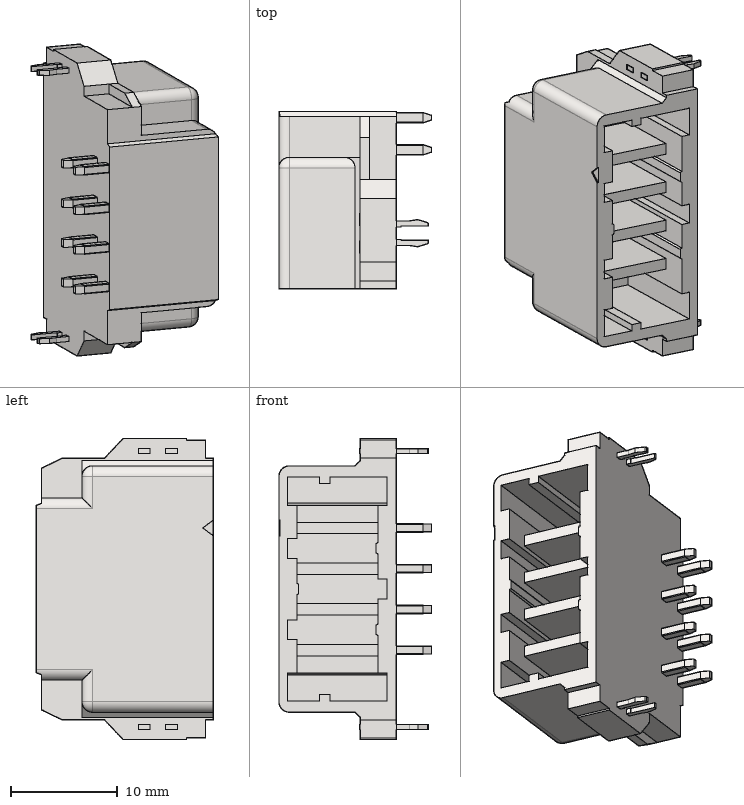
import cadquery as cq


HOUSING_WIDTH = 11.0
HOUSING_DEPTH = 16.1
FRONT_DEPTH = 12.3
FRONT_HALF_HEIGHT = 11.53
REAR_HALF_HEIGHT = 8.53
EDGE_RADIUS = 1.0
REAR_PAD_DEPTH = 16.6
REAR_PAD_HALF_HEIGHT = 7.82
REAR_PAD_FLARE = 0.2

FLANGE_X = 7.6
FLANGE_HALF_HEIGHT = 12.24
FLANGE_REAR_HALF_HEIGHT = 11.3
FLANGE_REAR_TAPER = 1.93
FLANGE_LIP = 0.9
BLEND_HEIGHT = 0.47

EAR_HALF_HEIGHT = 14.09
EAR_STEP = 0.17
EAR_FRONT_Y = 0.73
EAR_STEP_Y = 2.52
EAR_TOP_END_Y = 8.45
EAR_FOOT_END_Y = 10.2

POCKET_X_MIN = 0.8
POCKET_X_MAX = 10.1
POCKET_HALF_HEIGHT = 10.48
POCKET_DEPTH = 11.0
CAVITY_X_MIN = 1.69
CAVITY_X_MAX = 9.28
CAVITY_HALF_HEIGHT = 7.83
CAVITY_DEPTH = 9.8
RAMP_RISE = 0.22
POCKET_RIB_X = 3.8
POCKET_RIB_WIDTH = 1.0
POCKET_RIB_HEIGHT = 0.63

PITCH = 3.81
ROW_COUNT = 4
CONTACT_ROWS = [(row - (ROW_COUNT - 1) / 2) * PITCH for row in range(ROW_COUNT)]
KEY_WIDTH = 1.86
BUMP_HEIGHT = 0.17
BUMP_BASE = 1.1
BUMP_TOP = 0.86
BLADE_THICKNESS = 1.06
BLADE_FRONT_Y = 2.85

PIN_COLUMNS = (13.0, 16.0)
PIN_TIP_X = 14.3
PIN_TAPER_X = 13.47
PIN_WIDTH = 1.0
PIN_TIP_WIDTH = 0.44
PIN_THICKNESS = 0.82
PIN_BEVEL = 0.08

CLIP_Y = 5.2
CLIP_Z = 12.9
CLIP_THICKNESS = 0.48
CLIP_TIP_X = 14.0
CLIP_HEAD_X = 7.54
CLIP_HEAD_INNER = 0.73
CLIP_HEAD_OUTER = 1.83
CLIP_LEG_ROOT_INNER = 0.57
CLIP_LEG_INNER = 0.66
CLIP_LEG_OUTER = 1.16
CLIP_BARB_OUTER = 1.28
CLIP_TIP_OUTER = 1.0
CLIP_ROOT_END_X = 11.43
CLIP_TIP_BEVEL = 0.1
CLIP_BARB_START_X = 12.22
CLIP_BARB_X = 13.0

MARK_Z = CONTACT_ROWS[-1]
MARK_LENGTH = 1.0
MARK_WIDTH = 1.5
MARK_DEPTH = 0.12

OVERLAP = 0.5


def box(x_range, y_range, z_range):
    """Box between two limits on each axis."""
    size = [high - low for low, high in (x_range, y_range, z_range)]
    return cq.Workplane("XY").box(*size, centered=False).translate(
        (x_range[0], y_range[0], z_range[0])
    )


def prism_x(points, x_min, x_max):
    """(y, z) outline extruded along X."""
    return cq.Workplane("YZ").polyline(points).close().extrude(x_max - x_min).translate((x_min, 0, 0))


def prism_y(points, y_min, y_max):
    """(x, z) outline extruded along Y."""
    return cq.Workplane("XZ").polyline(points).close().extrude(y_min - y_max).translate((0, y_min, 0))


def prism_z(points, z_center, thickness):
    """(x, y) outline extruded along Z, centred on z_center."""
    plate = cq.Workplane("XY").polyline(points).close().extrude(thickness)
    return plate.translate((0, 0, z_center - thickness / 2))


def with_mirror(body):
    """Body joined with its reflection across the mid plane z = 0."""
    return body.union(body.mirror("XY"))


def make_housing():
    """Rounded shell: tall front section and lower rear section with a raised rear pad."""
    front = box((0, FLANGE_X + FLANGE_LIP), (0, FRONT_DEPTH), (-FRONT_HALF_HEIGHT, FRONT_HALF_HEIGHT))
    rounded_edges = front.faces("<X").edges("not <Y").add(front.faces(">Y").edges("|X"))
    front = front.newObject(rounded_edges.vals()).fillet(EDGE_RADIUS)

    pad_base = REAR_PAD_HALF_HEIGHT + REAR_PAD_FLARE
    rear_outline = [
        (0, -REAR_HALF_HEIGHT),
        (HOUSING_DEPTH, -REAR_HALF_HEIGHT),
        (HOUSING_DEPTH, -pad_base),
        (REAR_PAD_DEPTH, -REAR_PAD_HALF_HEIGHT),
        (REAR_PAD_DEPTH, REAR_PAD_HALF_HEIGHT),
        (HOUSING_DEPTH, pad_base),
        (HOUSING_DEPTH, REAR_HALF_HEIGHT),
        (0, REAR_HALF_HEIGHT),
    ]
    rear = prism_x(rear_outline, 0, HOUSING_WIDTH)
    envelope = box((0, HOUSING_WIDTH), (0, REAR_PAD_DEPTH), (-REAR_HALF_HEIGHT, REAR_HALF_HEIGHT))
    envelope = envelope.edges("|Y and <X").fillet(EDGE_RADIUS)
    return front.union(rear.intersect(envelope))


def make_flange():
    """Flange along the pin side with an ear at each end, blended into the housing."""
    taper_start_y = HOUSING_DEPTH - FLANGE_REAR_TAPER
    lip_outline = [
        (0, 0),
        (0, FLANGE_HALF_HEIGHT),
        (taper_start_y, FLANGE_HALF_HEIGHT),
        (HOUSING_DEPTH, FLANGE_REAR_HALF_HEIGHT),
        (HOUSING_DEPTH, 0),
    ]
    lip = prism_x(lip_outline, FLANGE_X, FLANGE_X + FLANGE_LIP)

    ear_outline = [
        (0, 0),
        (0, FLANGE_HALF_HEIGHT),
        (EAR_FRONT_Y, FLANGE_HALF_HEIGHT),
        (EAR_FRONT_Y, EAR_HALF_HEIGHT - EAR_STEP),
        (EAR_STEP_Y, EAR_HALF_HEIGHT - EAR_STEP),
        (EAR_STEP_Y, EAR_HALF_HEIGHT),
        (EAR_TOP_END_Y, EAR_HALF_HEIGHT),
        (EAR_FOOT_END_Y, FLANGE_HALF_HEIGHT),
        (EAR_FOOT_END_Y, FLANGE_REAR_HALF_HEIGHT),
        (HOUSING_DEPTH, FLANGE_REAR_HALF_HEIGHT),
        (HOUSING_DEPTH, 0),
    ]
    ear = prism_x(ear_outline, FLANGE_X, HOUSING_WIDTH)

    blend_top = FRONT_HALF_HEIGHT + BLEND_HEIGHT
    blend_bottom = FRONT_HALF_HEIGHT - EDGE_RADIUS
    blend_outline = [
        (FLANGE_X, blend_top),
        (FLANGE_X, blend_bottom),
        (FLANGE_X - (blend_top - blend_bottom), blend_bottom),
    ]
    blend = prism_y(blend_outline, 0, FRONT_DEPTH)
    return with_mirror(lip.union(ear).union(blend))


def make_cavity():
    """Mating opening: central cavity, taller end pockets, keying slots and bumps."""
    cavity = box(
        (CAVITY_X_MIN, CAVITY_X_MAX), (0, CAVITY_DEPTH), (-CAVITY_HALF_HEIGHT, CAVITY_HALF_HEIGHT)
    )

    pocket_outline = [
        (0, CAVITY_HALF_HEIGHT),
        (0, POCKET_HALF_HEIGHT),
        (POCKET_DEPTH, POCKET_HALF_HEIGHT),
        (POCKET_DEPTH, CAVITY_HALF_HEIGHT + RAMP_RISE),
        (CAVITY_DEPTH, CAVITY_HALF_HEIGHT),
    ]
    pocket = prism_x(pocket_outline, POCKET_X_MIN, POCKET_X_MAX)
    rib = box(
        (POCKET_RIB_X, POCKET_RIB_X + POCKET_RIB_WIDTH),
        (0, POCKET_DEPTH),
        (POCKET_HALF_HEIGHT - POCKET_RIB_HEIGHT, POCKET_HALF_HEIGHT),
    )
    cavity = cavity.union(with_mirror(pocket.cut(rib)))

    left_slot = (POCKET_X_MIN, CAVITY_X_MIN)
    right_slot = (CAVITY_X_MAX, POCKET_X_MAX)
    gaps = (
        (-PITCH, left_slot, CAVITY_X_MAX, -1),
        (0, right_slot, CAVITY_X_MIN, 1),
        (PITCH, left_slot, CAVITY_X_MAX, -1),
    )
    for z, slot_x, wall_x, inward in gaps:
        slot = box(slot_x, (0, CAVITY_DEPTH), (z - KEY_WIDTH / 2, z + KEY_WIDTH / 2))
        bump_x = wall_x + inward * BUMP_HEIGHT
        bump_outline = [
            (wall_x, z - BUMP_BASE / 2),
            (bump_x, z - BUMP_TOP / 2),
            (bump_x, z + BUMP_TOP / 2),
            (wall_x, z + BUMP_BASE / 2),
        ]
        cavity = cavity.union(slot).cut(prism_y(bump_outline, 0, CAVITY_DEPTH))
    return cavity


def make_blade(z):
    """Contact blade spanning the cavity from wall to wall."""
    return box(
        (CAVITY_X_MIN - OVERLAP, CAVITY_X_MAX + OVERLAP),
        (BLADE_FRONT_Y, CAVITY_DEPTH + OVERLAP),
        (z - BLADE_THICKNESS / 2, z + BLADE_THICKNESS / 2),
    )


def make_pin(y, z):
    """Solder pin with bevelled edges and a tapered tip."""
    shaft = box(
        (HOUSING_WIDTH - OVERLAP, PIN_TAPER_X),
        (y - PIN_WIDTH / 2, y + PIN_WIDTH / 2),
        (z - PIN_THICKNESS / 2, z + PIN_THICKNESS / 2),
    )
    shaft = shaft.edges("|X").chamfer(PIN_BEVEL)
    tip_outline = [
        (PIN_TAPER_X, y - PIN_WIDTH / 2),
        (PIN_TIP_X, y - PIN_TIP_WIDTH / 2),
        (PIN_TIP_X, y + PIN_TIP_WIDTH / 2),
        (PIN_TAPER_X, y + PIN_WIDTH / 2),
    ]
    return shaft.union(prism_z(tip_outline, z, PIN_THICKNESS - PIN_BEVEL))


def make_clip_leg(side):
    """One barbed leg of the upper hold-down clip; side is -1 or 1 along Y."""
    offsets = [
        (CLIP_HEAD_X, CLIP_HEAD_INNER),
        (FLANGE_X + OVERLAP, CLIP_HEAD_INNER),
        (FLANGE_X + OVERLAP, CLIP_LEG_ROOT_INNER),
        (CLIP_ROOT_END_X, CLIP_LEG_ROOT_INNER),
        (CLIP_ROOT_END_X, CLIP_LEG_INNER),
        (CLIP_TIP_X, CLIP_LEG_INNER),
        (CLIP_TIP_X, CLIP_TIP_OUTER - CLIP_TIP_BEVEL),
        (CLIP_TIP_X - CLIP_TIP_BEVEL, CLIP_TIP_OUTER),
        (CLIP_BARB_X, CLIP_BARB_OUTER),
        (CLIP_BARB_START_X, CLIP_LEG_OUTER),
        (FLANGE_X + OVERLAP, CLIP_LEG_OUTER),
        (FLANGE_X + OVERLAP, CLIP_HEAD_OUTER),
        (CLIP_HEAD_X, CLIP_HEAD_OUTER),
    ]
    outline = [(x, CLIP_Y + side * offset) for x, offset in offsets]
    return prism_z(outline, CLIP_Z, CLIP_THICKNESS)


def make_pin_one_mark():
    """Shallow triangular recess in line with the uppermost contact row."""
    outline = [
        (0, MARK_Z - MARK_WIDTH / 2),
        (MARK_LENGTH, MARK_Z),
        (0, MARK_Z + MARK_WIDTH / 2),
    ]
    return prism_x(outline, 0, MARK_DEPTH)


result = make_housing().union(make_flange()).cut(make_cavity()).cut(make_pin_one_mark())

for row_z in CONTACT_ROWS:
    result = result.union(make_blade(row_z))
    for column_y in PIN_COLUMNS:
        result = result.union(make_pin(column_y, row_z))

for leg_side in (-1, 1):
    result = result.union(with_mirror(make_clip_leg(leg_side)))